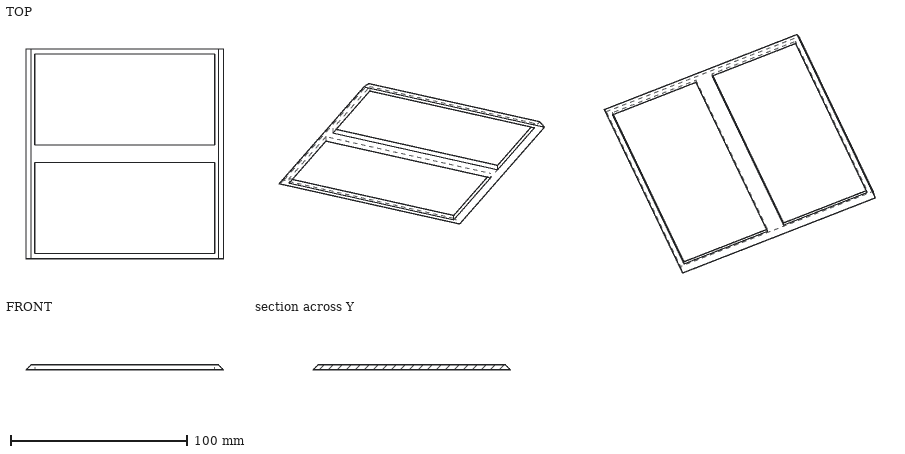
import cadquery as cq

base_width = 112.0
length = 119.0
thickness = 3.0

bevel_run = thickness
top_width = base_width - 2 * bevel_run

side_land = 2.0
end_rail = 3.0
crossbar = 10.0
window_width = top_width - 2 * side_land
window_length = (length - 2 * end_rail - crossbar) / 2
window_offset = (crossbar + window_length) / 2


def make_plate():
    """Plate of trapezoidal section, running along Y and centred on the origin."""
    section = [
        (-base_width / 2, 0),
        (base_width / 2, 0),
        (top_width / 2, thickness),
        (-top_width / 2, thickness),
    ]
    return cq.Workplane("XZ").polyline(section).close().extrude(length / 2, both=True)


def cut_windows(plate):
    """Cut the two rectangular windows straight through the plate."""
    windows = (
        cq.Workplane("XY")
        .pushPoints([(0, -window_offset), (0, window_offset)])
        .rect(window_width, window_length)
        .extrude(thickness)
    )
    return plate.cut(windows)


result = cut_windows(make_plate())